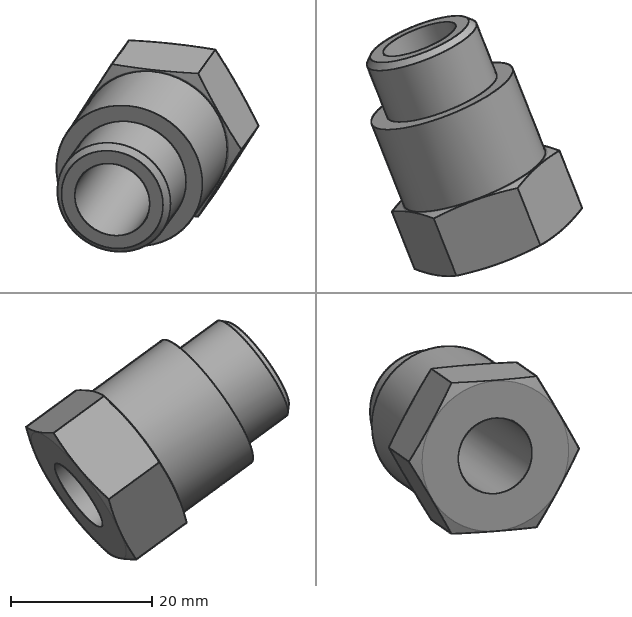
import cadquery as cq
import math

total_length = 32
hex_length = 10.0
neck_length = 9.0
hex_start = total_length - hex_length

hex_across_flats = 22.0
hex_across_corners = hex_across_flats / math.cos(math.radians(30))
body_diameter = 21.5
neck_diameter = 16.67
neck_tip_diameter = 14.95
bore_diameter = 11.0

neck_chamfer = (neck_diameter - neck_tip_diameter) / 2
hex_face_diameter = 21.9
hex_chamfer_angle = 15


def cylinder(diameter, start, end):
    """Cylinder about the Y axis between two Y positions."""
    plane = cq.Workplane("XZ", origin=(0, end, 0))
    return plane.circle(diameter / 2).extrude(end - start)


def chamfered_hexagon():
    """Hexagon with corners on the X axis, both ends turned to a shallow cone."""
    prism = (
        cq.Workplane("XZ", origin=(0, total_length, 0))
        .polygon(6, hex_across_corners)
        .extrude(hex_length)
    )
    face_radius = hex_face_diameter / 2
    corner_radius = hex_across_corners / 2
    corner_drop = (corner_radius - face_radius) * math.tan(math.radians(hex_chamfer_angle))
    envelope = (
        cq.Workplane("XY")
        .moveTo(0, hex_start)
        .lineTo(face_radius, hex_start)
        .lineTo(corner_radius, hex_start + corner_drop)
        .lineTo(corner_radius, total_length - corner_drop)
        .lineTo(face_radius, total_length)
        .lineTo(0, total_length)
        .close()
        .revolve(360, (0, 0, 0), (0, 1, 0))
    )
    return prism.intersect(envelope)


neck = cylinder(neck_diameter, 0, neck_length).faces("<Y").chamfer(neck_chamfer)
body = cylinder(body_diameter, neck_length, hex_start)
bore = cylinder(bore_diameter, 0, total_length)

result = chamfered_hexagon().union(body).union(neck).cut(bore)